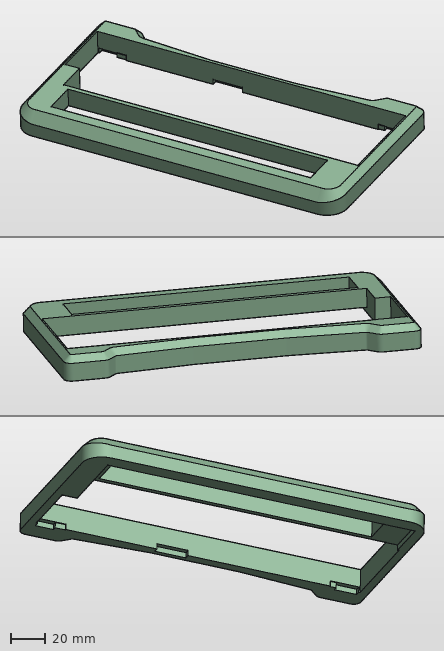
import cadquery as cq
import math

LENGTH = 215.7
DEPTH = 110.9
THICKNESS = 15.0
TILT = 3.5
HALF_LENGTH = LENGTH / 2

FRONT_RADIUS = 13.0
BACK_RADIUS = 4.7
BEVEL = 4.0
FRONT_BEVEL_WIDTH = 5.6
FRONT_BEVEL_HEIGHT = 6.7

NOTCH_HALF = 82.2
NOTCH_STEP = 6.5
NOTCH_DEEPEST = 9.7
NOTCH_FLAT_HALF = 28.0
NOTCH_RADIUS = 1.62

OPENING_HALF = 102.7
OPENING_FRONT = 36.2
OPENING_BACK = 95.0
SHELF_RIGHT = -93.2
SHELF_BACK = 55.7

SLOT_LEFT = -88.7
SLOT_RIGHT = 84.1
SLOT_FRONT = 12.5
SLOT_BACK = 33.2

REBATE_HEIGHT = 3.5
REBATE_MARGIN = 3.2
REBATE_END = 101.8
STEP_END = 84.0
STEP_DEPTH = 0.6
LEFT_STEP_WIDTH = 6.5
RIGHT_STEP_WIDTH = 3.9
MIDDLE_POCKET_LEFT = -26.0
MIDDLE_POCKET_RIGHT = -6.5


def box(left, right, front, back, height):
    """Block standing on the underside of the frame."""
    return (
        cq.Workplane("XY")
        .center((left + right) / 2, (front + back) / 2)
        .rect(right - left, back - front)
        .extrude(height)
    )


def round_corners(body, points, radius):
    """Fillet the vertical edges that stand at the given points and their mirror images."""
    reach = 0.2
    for x, y in points:
        for side in (-1, 1):
            corner = cq.selectors.BoxSelector(
                (side * x - reach, y - reach, 0), (side * x + reach, y + reach, THICKNESS)
            )
            body = body.edges("|Z").edges(corner).fillet(radius)
    return body


def make_body():
    """Solid slab with the back notch, rounded corners and the even top bevel."""
    foot = (NOTCH_HALF - NOTCH_STEP, DEPTH - NOTCH_STEP)
    right_half = [
        (HALF_LENGTH, 0),
        (HALF_LENGTH, DEPTH),
        (NOTCH_HALF, DEPTH),
        foot,
        (NOTCH_FLAT_HALF, DEPTH - NOTCH_DEEPEST),
    ]
    left_half = [(-x, y) for x, y in reversed(right_half)]
    body = cq.Workplane("XY").polyline(right_half + left_half).close().extrude(THICKNESS)
    body = round_corners(body, [(HALF_LENGTH, 0)], FRONT_RADIUS)
    body = round_corners(body, [(HALF_LENGTH, DEPTH), (NOTCH_HALF, DEPTH)], BACK_RADIUS)
    body = round_corners(body, [foot], NOTCH_RADIUS)
    return body.faces(">Z").edges().chamfer(BEVEL)


def bevel_section(x, angle, width, height):
    """Triangle above a bevel, in the upright plane at this angle around the front corner centre."""
    overrun = 0.5

    def point(radius, z):
        across = math.copysign(radius * math.sin(angle), x)
        return cq.Vector(x + across, FRONT_RADIUS - radius * math.cos(angle), z)

    inner = FRONT_RADIUS - width * (1 + overrun)
    outer = FRONT_RADIUS + width * overrun
    top = THICKNESS + height * overrun
    low = THICKNESS - height * (1 + overrun)
    corners = [point(inner, top), point(outer, top), point(outer, low)]
    return cq.Wire.makePolygon(corners, close=True)


def front_bevel_cutters():
    """Wide bevel of the front edge, fading into the side bevel around each front corner."""
    centers = (FRONT_RADIUS - HALF_LENGTH, HALF_LENGTH - FRONT_RADIUS)
    front = [bevel_section(x, 0, FRONT_BEVEL_WIDTH, FRONT_BEVEL_HEIGHT) for x in centers]
    cutters = [cq.Solid.makeLoft(front, True)]
    steps = 6
    for x in centers:
        sections = []
        for step in range(steps + 1):
            share = step / steps
            width = FRONT_BEVEL_WIDTH + share * (BEVEL - FRONT_BEVEL_WIDTH)
            height = FRONT_BEVEL_HEIGHT + share * (BEVEL - FRONT_BEVEL_HEIGHT)
            sections.append(bevel_section(x, share * math.pi / 2, width, height))
        cutters.append(cq.Solid.makeLoft(sections, False))
    return cutters


def cut_openings(body):
    """Cut the main opening around its shelf, and the long slot."""
    opening = box(-OPENING_HALF, OPENING_HALF, OPENING_FRONT, OPENING_BACK, THICKNESS)
    shelf = box(-OPENING_HALF, SHELF_RIGHT, OPENING_FRONT, SHELF_BACK, THICKNESS)
    slot = box(SLOT_LEFT, SLOT_RIGHT, SLOT_FRONT, SLOT_BACK, THICKNESS)
    return body.cut(opening.cut(shelf)).cut(slot)


def cut_rebate(body):
    """Cut the rebate around the slot, then the pockets in the lower edge of the back bar."""
    front = SLOT_FRONT - REBATE_MARGIN
    body = body.cut(box(SHELF_RIGHT, REBATE_END, front, OPENING_FRONT, REBATE_HEIGHT))

    left_inner = -STEP_END - LEFT_STEP_WIDTH
    right_inner = STEP_END + RIGHT_STEP_WIDTH
    pockets = [
        (-REBATE_END, left_inner, REBATE_MARGIN),
        (left_inner, -STEP_END, STEP_DEPTH),
        (MIDDLE_POCKET_LEFT, MIDDLE_POCKET_RIGHT, REBATE_MARGIN),
        (STEP_END, right_inner, STEP_DEPTH),
        (right_inner, REBATE_END, REBATE_MARGIN),
    ]
    for left, right, depth in pockets:
        body = body.cut(box(left, right, OPENING_BACK, OPENING_BACK + depth, REBATE_HEIGHT))
    return body


frame = make_body()
for cutter in front_bevel_cutters():
    frame = frame.cut(cq.Workplane(obj=cutter))
frame = cut_rebate(cut_openings(frame))
result = frame.rotate((0, 0, 0), (1, 0, 0), TILT)